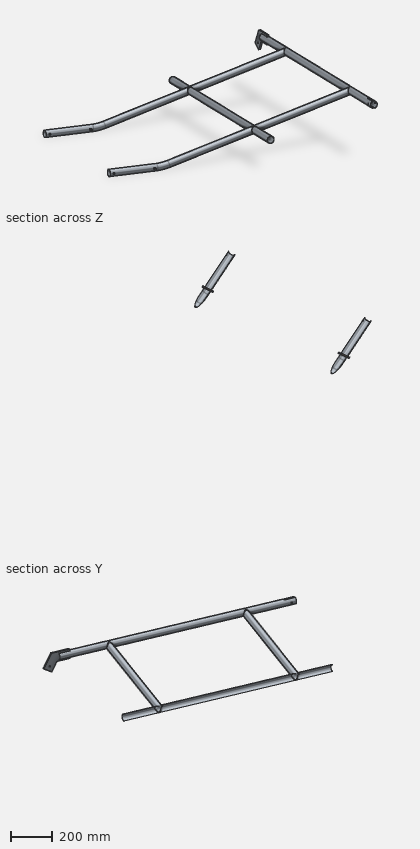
import cadquery as cq
import math

tube_diameter = 38.0
bore_diameter = 34.0

rail_length = 1320.0
rail_right = 1403.0
rail_left = rail_right - rail_length
frame_center = (rail_left + rail_right) / 2
slot_length = 62.0
end_hole_diameter = 6.7
rail_hole_inset = 27.0

plate_thickness = 10.0
plate_width = 50.0
plate_top = 27.0
plate_bend_angle = 60.0
plate_arm_length = 87.0
plate_hole_inset = 22.0

leg_spacing = 763.0
frame_height = 313.0
leg_drop = frame_height - plate_top - tube_diameter / 2
leg_corner_y = -1004.0
frame_depth = 1309.0
leg_end_y = tube_diameter / 2 - frame_depth
leg_bend_radius = 245.0
leg_angle = math.atan2(leg_drop, -leg_corner_y)
leg_hole_inset = 20.0
leg_hole_diameter = 9.5
leg_positions = [frame_center - leg_spacing / 2, frame_center + leg_spacing / 2]

cross_length = 1165.0
cross_y = -516.0
cross_z = cross_y * math.tan(leg_angle)
cross_left = frame_center - cross_length / 2
cross_right = frame_center + cross_length / 2

pin_diameter = 9.5
pin_length = 60.0
pin_y = -1053.0


def rod_along_x(diameter, x_start, x_end, y, z):
    """Solid cylinder parallel to X."""
    return (
        cq.Workplane("YZ", origin=(x_start, y, z))
        .circle(diameter / 2)
        .extrude(x_end - x_start)
    )


def tube_along_x(x_start, x_end, y, z):
    """Hollow tube parallel to X."""
    outside = rod_along_x(tube_diameter, x_start, x_end, y, z)
    return outside.cut(rod_along_x(bore_diameter, x_start, x_end, y, z))


def make_rail():
    rail = tube_along_x(rail_left, rail_right, 0, 0)
    for slot_middle in (rail_left + slot_length / 2, rail_right - slot_length / 2):
        slot = cq.Workplane("XY").box(slot_length, plate_thickness, 2 * tube_diameter)
        rail = rail.cut(slot.translate((slot_middle, 0, 0)))
    hole = (
        cq.Workplane("XZ", origin=(rail_right - rail_hole_inset, 0, 0))
        .circle(end_hole_diameter / 2)
        .extrude(tube_diameter, both=True)
    )
    return rail.cut(hole)


def make_plate():
    bend = math.radians(plate_bend_angle)
    along = (math.cos(bend), math.sin(bend))
    across = (math.sin(bend), -math.cos(bend))
    outer_tip = (0, plate_top - plate_arm_length * along[1])
    outer_corner = (plate_arm_length * along[0], plate_top)
    inner_tip = (plate_width * across[0], outer_tip[1] + plate_width * across[1])
    plate_bottom = plate_top - plate_width
    inner_corner = (
        inner_tip[0] + (plate_bottom - inner_tip[1]) / math.tan(bend),
        plate_bottom,
    )
    plate_right = rail_left + slot_length
    hole_x = inner_tip[0] / 2 + plate_hole_inset * along[0]
    hole_z = (outer_tip[1] + inner_tip[1]) / 2 + plate_hole_inset * along[1]
    outline = [
        outer_tip,
        outer_corner,
        (plate_right, plate_top),
        (plate_right, plate_bottom),
        inner_corner,
        inner_tip,
    ]
    plate = cq.Workplane("XZ").polyline(outline).close().extrude(plate_thickness / 2, both=True)
    hole = (
        cq.Workplane("XZ", origin=(hole_x, 0, hole_z))
        .circle(end_hole_diameter / 2)
        .extrude(plate_thickness, both=True)
    )
    return plate.cut(hole)


def leg_sweep(diameter, x):
    """Solid bent rod along the axis of the leg at x, starting on the rail axis."""
    tangent_length = leg_bend_radius * math.tan(leg_angle / 2)
    bend_start = (
        leg_corner_y + tangent_length * math.cos(leg_angle),
        -leg_drop + tangent_length * math.sin(leg_angle),
    )
    bend_end = (leg_corner_y - tangent_length, -leg_drop)
    bend_middle = (
        bend_end[0] + leg_bend_radius * math.sin(leg_angle / 2),
        -leg_drop + leg_bend_radius * (1 - math.cos(leg_angle / 2)),
    )
    path = (
        cq.Workplane("YZ", origin=(x, 0, 0))
        .moveTo(leg_end_y, -leg_drop)
        .lineTo(*bend_end)
        .threePointArc(bend_middle, bend_start)
        .lineTo(0, 0)
    )
    profile = cq.Workplane("XZ", origin=(x, leg_end_y, -leg_drop)).circle(diameter / 2)
    return profile.sweep(path)


def make_leg(x):
    leg = leg_sweep(tube_diameter, x).cut(leg_sweep(bore_diameter, x))
    leg = leg.cut(rod_along_x(tube_diameter, rail_left, rail_right, 0, 0))
    cross_holes = [
        (pin_diameter, pin_y),
        (leg_hole_diameter, leg_end_y + leg_hole_inset),
    ]
    for diameter, y in cross_holes:
        leg = leg.cut(rod_along_x(diameter, x - tube_diameter, x + tube_diameter, y, -leg_drop))
    return leg


def make_cross_piece(x_start, x_end):
    """Cross tube between two X positions, coped around any leg it meets."""
    piece = tube_along_x(x_start, x_end, cross_y, cross_z)
    for x in leg_positions:
        piece = piece.cut(leg_sweep(tube_diameter, x))
    return piece


def make_pin(x):
    return rod_along_x(pin_diameter, x - pin_length / 2, x + pin_length / 2, pin_y, -leg_drop)


rail = make_rail()
plate = make_plate()
legs = [make_leg(x) for x in leg_positions]
pins = [make_pin(x) for x in leg_positions]
cross_stops = [cross_left, *leg_positions, cross_right]
cross_pieces = [make_cross_piece(start, end) for start, end in zip(cross_stops, cross_stops[1:])]

bodies = [rail, plate, *legs, *cross_pieces, *pins]
result = cq.Compound.makeCompound([body.solids().val() for body in bodies])